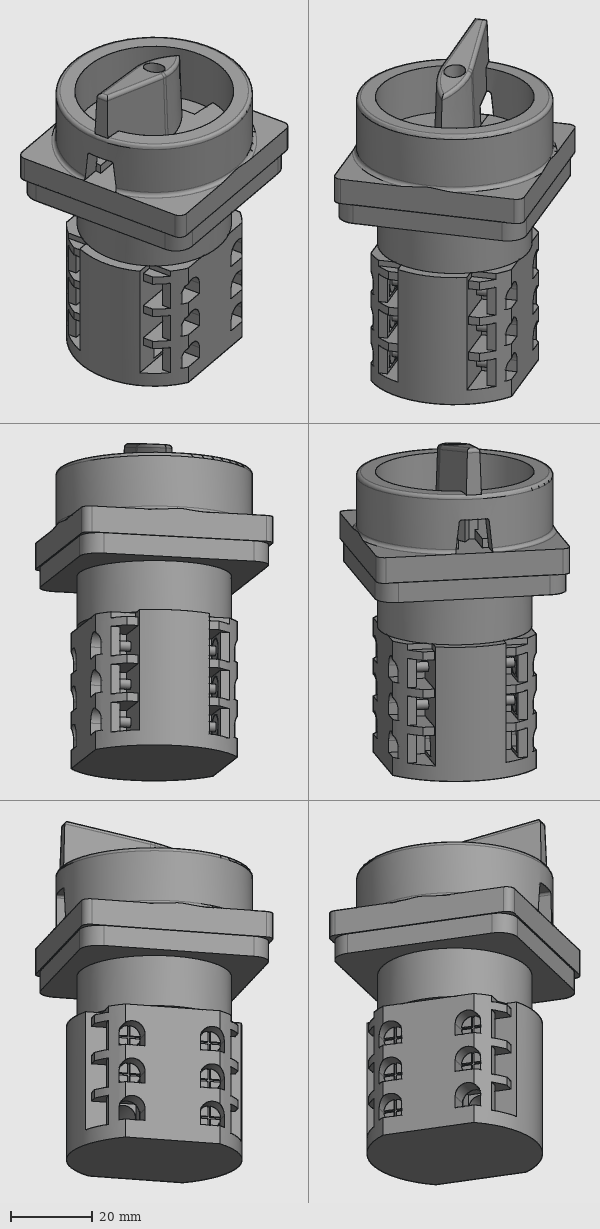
import cadquery as cq
import math

body_height = 34.0
body_radius = 21.6
flat_half = 18.0

level_count = 3
level_pitch = 9.55
bay_base = 3.84
bay_height = 7.4
bay_wall_x = 8.85
bay_wall_y = 15.5
bay_back_y = 7.0
bay_inner_x = 12.75
shelf_front_y = 18.2

screw_y = 10.2
arch_base = 4.6
arch_radius = 3.15
arch_axis_rise = 3.0
arch_axis = arch_base + arch_axis_rise
head_radius = 2.95
head_height = 1.5
shank_radius = 1.25
drive_slot_width = 0.6
drive_slot_depth = 0.8

neck_radius = 19.0
flange_base = 46.8
flange_side = 47.8
flange_corner = 4.85
plate_base = 51.9
plate_top = 58.4
plate_side = 48.5
plate_corner = 2.1

ring_radius = 24.16
ring_bore_radius = 19.5
ring_top = 73.1
ring_round = 1.0
floor_top = 60.7

window_top = 66.9
window_base_half = 4.65
window_top_half = 3.7
window_round = 0.7
channel_half = 3.0

marker_inner_y = 12.2
marker_inner_half = 3.8
marker_outer_half = 4.8

nose_y = 12.3
handle_half = 4.78
handle_widest_y = -0.9
handle_taper_y = -2.0
tail_y = -24.0
tail_half = 2.35
handle_draft = 2.0
handle_slope = 11.8
handle_axis_height = 79.98
handle_blank_height = 30.0
handle_round = 1.0
undercut_y = -10.0
ridge_half = 1.55
ridge_depth = ridge_half * math.sqrt(3)
dimple_radius = 2.65
dimple_depth = 5.0

sides = (-1, 1)


def box(x_range, y_range, z_range):
    """Box between pairs of limits, given in any order."""
    low, high = zip(*(sorted(limits) for limits in (x_range, y_range, z_range)))
    sizes = [b - a for a, b in zip(low, high)]
    return cq.Workplane("XY").box(*sizes, centered=False).translate(low)


def cylinder(radius, base, top):
    return cq.Workplane("XY").workplane(offset=base).circle(radius).extrude(top - base)


def square_block(side, corner, base, top):
    block = cq.Workplane("XY").workplane(offset=base).rect(side, side).extrude(top - base)
    return block.edges("|Z").fillet(corner)


def corner_bay(side_x, side_y):
    """Open corner of the contact body, with the deep wiring cavities, minus its shelves."""
    far = 2 * body_radius
    bay = box(
        (side_x * bay_wall_x, side_x * far), (side_y * bay_wall_y, side_y * far), (bay_base, body_height)
    )
    for level in range(level_count):
        base = bay_base + level * level_pitch
        top = base + bay_height
        shelf_top = base + level_pitch
        shelf = box(
            (side_x * bay_wall_x, side_x * far),
            (side_y * bay_wall_y, side_y * shelf_front_y),
            (top, shelf_top),
        )
        cavity = box(
            (side_x * bay_wall_x, side_x * bay_inner_x),
            (side_y * bay_back_y, side_y * bay_wall_y),
            (base, top),
        )
        bay = bay.cut(shelf).union(cavity)
    return bay


def screw_hole(side_x, side_y, level, inner_x):
    """Arched access hole running inward from the flat."""
    lift = level * level_pitch
    center_y = side_y * screw_y
    axis = arch_axis + lift
    outline = (
        cq.Workplane("YZ")
        .moveTo(center_y - arch_radius, arch_base + lift)
        .lineTo(center_y + arch_radius, arch_base + lift)
        .lineTo(center_y + arch_radius, axis)
        .threePointArc((center_y, axis + arch_radius), (center_y - arch_radius, axis))
        .close()
    )
    hole = outline.extrude(flat_half - inner_x).translate((inner_x, 0, 0))
    return hole if side_x > 0 else hole.mirror("YZ")


def screw(side_x, side_y, level):
    """Cross-slotted screw standing on the inner wall of its hole."""
    center = (side_y * screw_y, arch_axis + level * level_pitch)
    head_face = bay_inner_x + head_height
    shank = cq.Workplane("YZ").center(*center).circle(shank_radius).extrude(bay_inner_x)
    head = cq.Workplane("YZ", origin=(bay_inner_x, 0, 0)).center(*center).circle(head_radius)
    slot_plane = cq.Workplane("YZ", origin=(head_face, 0, 0)).center(*center)
    slot_length = 2 * head_radius
    slots = slot_plane.rect(drive_slot_width, slot_length).extrude(-drive_slot_depth)
    slots = slots.union(slot_plane.rect(slot_length, drive_slot_width).extrude(-drive_slot_depth))
    part = shank.union(head.extrude(head_height)).cut(slots)
    return part if side_x > 0 else part.mirror("YZ")


def contact_body():
    body = cylinder(body_radius, 0, body_height)
    body = body.intersect(
        box((-flat_half, flat_half), (-body_radius, body_radius), (0, body_height))
    )
    for side_x in sides:
        for side_y in sides:
            body = body.cut(corner_bay(side_x, side_y))
            for level in range(level_count):
                empty = side_y < 0 and level == 0
                inner_x = 0 if empty else bay_wall_x
                body = body.cut(screw_hole(side_x, side_y, level, inner_x))
                if not empty:
                    body = body.union(screw(side_x, side_y, level))
    return body


def base_stack():
    neck = cylinder(neck_radius, body_height, flange_base)
    flange = square_block(flange_side, flange_corner, flange_base, plate_base)
    plate = square_block(plate_side, plate_corner, plate_base, plate_top)
    return neck.union(flange).union(plate)


def window_tunnel(end_y):
    """Padlock window, rounded at the top, from outside the collar to end_y."""
    start_y = -plate_side
    outline = cq.Workplane("XZ", origin=(0, start_y, 0)).polyline(
        [
            (-window_base_half, plate_top),
            (-window_top_half, window_top),
            (window_top_half, window_top),
            (window_base_half, plate_top),
        ]
    )
    return outline.close().extrude(start_y - end_y).edges("|Y and >Z").fillet(window_round)


def collar():
    """Ring with a rounded rim, a foot flared and trimmed to the plate, and a floor within."""
    foot_arc = ring_round * (1 - math.sqrt(0.5))
    rim_arc = ring_round * math.sqrt(0.5)
    rim_center = (ring_radius - ring_round, ring_top - ring_round)
    profile = (
        cq.Workplane("XZ")
        .moveTo(ring_bore_radius, plate_top)
        .lineTo(ring_radius + ring_round, plate_top)
        .threePointArc(
            (ring_radius + foot_arc, plate_top + foot_arc), (ring_radius, plate_top + ring_round)
        )
        .lineTo(ring_radius, rim_center[1])
        .threePointArc((rim_center[0] + rim_arc, rim_center[1] + rim_arc), (rim_center[0], ring_top))
        .lineTo(ring_bore_radius, ring_top)
        .lineTo(ring_bore_radius, plate_top)
        .close()
    )
    ring = profile.revolve(360, (0, 0, 0), (0, 1, 0))
    ring = ring.intersect(square_block(plate_side, plate_corner, plate_top, ring_top))
    ring = ring.cut(window_tunnel(undercut_y))
    channel = box(
        (-channel_half, channel_half), (-ring_bore_radius, undercut_y), (plate_top, floor_top)
    )
    floor = cylinder(ring_bore_radius, plate_top, floor_top).cut(channel).cut(marker_recess())
    return ring.union(floor)


def marker_recess():
    """Flared recess in the floor, ending at the collar bore."""
    flare = cq.Workplane("XY").workplane(offset=plate_top).polyline(
        [
            (-marker_inner_half, marker_inner_y),
            (marker_inner_half, marker_inner_y),
            (marker_outer_half, ring_bore_radius),
            (-marker_outer_half, ring_bore_radius),
        ]
    )
    recess = flare.close().extrude(floor_top - plate_top)
    return recess.intersect(cylinder(ring_bore_radius, plate_top, floor_top))


def nose_arc_middle(side):
    """Point halfway along a nose flank, an arc that is parallel to Y at the widest place."""
    length = nose_y - handle_widest_y
    radius = (length**2 + handle_half**2) / (2 * handle_half)
    half_angle = math.asin(length / radius) / 2
    x = handle_half - radius * (1 - math.cos(half_angle))
    return (side * x, handle_widest_y + radius * math.sin(half_angle))


def handle():
    """Drafted pointer with a sloping, rounded top, undercut below the tail, ridged and dimpled."""
    cutter_size = 2 * plate_side
    grip = (
        cq.Workplane("XY")
        .workplane(offset=plate_top)
        .moveTo(0, nose_y)
        .threePointArc(nose_arc_middle(1), (handle_half, handle_widest_y))
        .lineTo(handle_half, handle_taper_y)
        .lineTo(tail_half, tail_y)
        .lineTo(-tail_half, tail_y)
        .lineTo(-handle_half, handle_taper_y)
        .lineTo(-handle_half, handle_widest_y)
        .threePointArc(nose_arc_middle(-1), (0, nose_y))
        .close()
        .extrude(handle_blank_height, taper=handle_draft)
    )
    cutter = (
        cq.Workplane("XY")
        .box(cutter_size, cutter_size, cutter_size, centered=(True, True, False))
        .rotate((0, 0, 0), (1, 0, 0), -handle_slope)
        .translate((0, 0, handle_axis_height))
    )
    grip = grip.cut(cutter)
    grip = grip.faces(">Z").edges().fillet(handle_round)
    undercut = box((-handle_half, handle_half), (undercut_y, tail_y), (plate_top, window_top))
    ridge = (
        cq.Workplane("XY")
        .workplane(offset=plate_top)
        .polyline([(-ridge_half, undercut_y), (0, undercut_y - ridge_depth), (ridge_half, undercut_y)])
        .close()
        .extrude(window_top - plate_top)
    )
    dimple = cylinder(dimple_radius, handle_axis_height - dimple_depth, plate_top + handle_blank_height)
    return grip.cut(undercut).union(ridge).cut(dimple)


result = contact_body().union(base_stack()).union(collar()).union(handle())